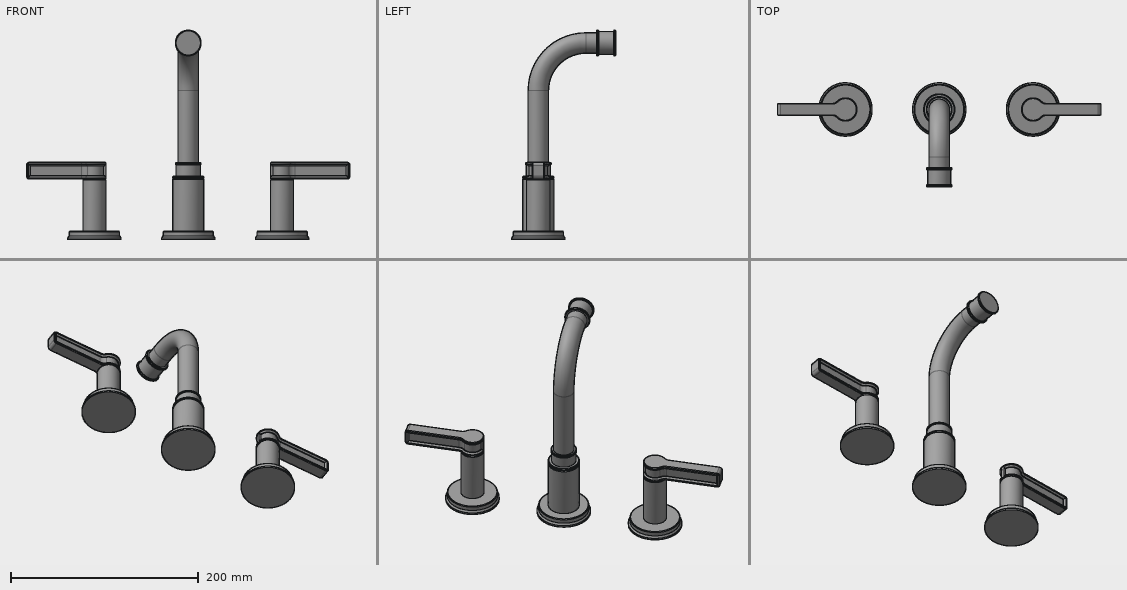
import cadquery as cq
OVERALL_LENGTH = 344.8
HANDLE_SPACING = 100.0
EDGE_CHAMFER = 0.85

BASE_RADIUS = 28.5
BASE_LIP_HEIGHT = 2.0
BASE_TOP_RADIUS = 27.0
BASE_STEP_HEIGHT = 4.0
BASE_HEIGHT = 9.3

POST_RADIUS = 12.5
HANDLE_HEIGHT = 82.7
LEVER_HEIGHT = 18.3
LEVER_WIDTH = 13.0
LEVER_END_FILLET = 3.5
LEVER_REACH = OVERALL_LENGTH / 2 - HANDLE_SPACING
LEVER_BOTTOM = HANDLE_HEIGHT - LEVER_HEIGHT
HEAD_FILLET = 6.2
RIM_WIDTH = 4.0
RECESS_DEPTH = 2.5
RECESS_CHAMFER = 1.7
RIB_WIDTH = 4.0

SPOUT_HEIGHT = 223.5
SPOUT_REACH = 82.7
COLUMN_RADIUS = 33.5 / 2
COLUMN_TOP = 65.0
COLLAR_RADIUS = 13.8
COLLAR_THICKNESS = 2.8
SLEEVE_RADIUS = 13.0
SLEEVE_TOP = 82.5
PIPE_RADIUS = 11.0
BEND_RADIUS = 50.7
PIPE_AXIS_HEIGHT = SPOUT_HEIGHT - COLLAR_RADIUS
NOZZLE_RADIUS = 12.5
NOZZLE_LENGTH = 21.0


def cylinder(radius, bottom, top):
    return cq.Workplane("XY").workplane(offset=bottom).circle(radius).extrude(top - bottom)


def post(radius, top):
    """Upright standing on the ground plane, bevelled round its top."""
    return cylinder(radius, 0, top).faces(">Z").chamfer(EDGE_CHAMFER)


def collar(radius, bottom, thickness):
    """Disc bevelled on both edges."""
    return cylinder(radius, bottom, bottom + thickness).faces("|Z").chamfer(EDGE_CHAMFER)


def make_base():
    profile = [
        (0, 0),
        (BASE_RADIUS, 0),
        (BASE_RADIUS, BASE_LIP_HEIGHT),
        (BASE_TOP_RADIUS, BASE_STEP_HEIGHT),
        (BASE_TOP_RADIUS, BASE_HEIGHT),
        (0, BASE_HEIGHT),
    ]
    base = cq.Workplane("XZ").polyline(profile).close().revolve(360, (0, 0, 0), (0, 1, 0))
    return base.faces(">Z").chamfer(EDGE_CHAMFER)


def lever_plate(inset, bottom, top):
    """Lever along +X blended into its round head, with the outline set in by `inset`."""
    length = LEVER_REACH - inset
    bar = (
        cq.Workplane("XY")
        .workplane(offset=bottom)
        .center(length / 2, 0)
        .rect(length, LEVER_WIDTH - 2 * inset)
        .extrude(top - bottom)
    )
    plate = bar.union(cylinder(POST_RADIUS - inset, bottom, top))
    return plate.edges("|Z").edges("not >X").fillet(HEAD_FILLET + inset)


def lever_envelope():
    """Full outer shape of the lever, with its end rounded and its outer edges bevelled."""
    envelope = lever_plate(0, LEVER_BOTTOM, HANDLE_HEIGHT)
    envelope = envelope.faces(">X").edges("|Y").fillet(LEVER_END_FILLET)
    side_outlines = envelope.edges("(not (|Y or |Z)) or (|Z and >X)")
    return side_outlines.chamfer(EDGE_CHAMFER)


def make_lever():
    """Thin core held between a bottom and a top rim, an end rim and a rib behind the head."""
    rim_bottom = HANDLE_HEIGHT - RIM_WIDTH
    top_rim = lever_plate(0, rim_bottom, HANDLE_HEIGHT).faces("<Z").chamfer(RECESS_CHAMFER)
    bottom_rim = lever_plate(0, LEVER_BOTTOM, LEVER_BOTTOM + RIM_WIDTH)
    bottom_rim = bottom_rim.faces(">Z").chamfer(RECESS_CHAMFER)
    end_rim = (
        cq.Workplane("XY")
        .box(RIM_WIDTH, LEVER_WIDTH, LEVER_HEIGHT, centered=(False, True, False))
        .edges("<X and |Z")
        .chamfer(RECESS_CHAMFER)
        .translate((LEVER_REACH - RIM_WIDTH, 0, LEVER_BOTTOM))
    )
    rib = (
        cq.Workplane("XY")
        .box(POST_RADIUS, RIB_WIDTH, LEVER_HEIGHT, centered=(False, True, False))
        .translate((-POST_RADIUS, 0, LEVER_BOTTOM))
    )
    lever = lever_plate(RECESS_DEPTH, LEVER_BOTTOM, HANDLE_HEIGHT)
    for part in (top_rim, bottom_rim, end_rim, rib):
        lever = lever.union(part)
    return lever.intersect(lever_envelope())


def make_handle():
    return make_base().union(post(POST_RADIUS, LEVER_BOTTOM)).union(make_lever())


def make_pipe():
    bend_start = PIPE_AXIS_HEIGHT - BEND_RADIUS
    path = (
        cq.Workplane("YZ")
        .lineTo(0, bend_start)
        .radiusArc((-BEND_RADIUS, PIPE_AXIS_HEIGHT), -BEND_RADIUS)
        .lineTo(-SPOUT_REACH + NOZZLE_LENGTH, PIPE_AXIS_HEIGHT)
    )
    return cq.Workplane("XY").circle(PIPE_RADIUS).sweep(path)


def make_nozzle():
    """Nozzle with a collar at each end, modelled upright and then turned to point along -Y."""
    nozzle = cylinder(NOZZLE_RADIUS, EDGE_CHAMFER, NOZZLE_LENGTH - EDGE_CHAMFER)
    for bottom in (0, NOZZLE_LENGTH - COLLAR_THICKNESS):
        nozzle = nozzle.union(collar(COLLAR_RADIUS, bottom, COLLAR_THICKNESS))
    nozzle = nozzle.rotate((0, 0, 0), (1, 0, 0), 90)
    return nozzle.translate((0, NOZZLE_LENGTH - SPOUT_REACH, PIPE_AXIS_HEIGHT))


def make_spout():
    parts = [
        post(COLUMN_RADIUS, COLUMN_TOP),
        collar(COLUMN_RADIUS, COLUMN_TOP, COLLAR_THICKNESS),
        cylinder(SLEEVE_RADIUS, COLUMN_TOP, SLEEVE_TOP - EDGE_CHAMFER),
        collar(COLLAR_RADIUS, SLEEVE_TOP - COLLAR_THICKNESS, COLLAR_THICKNESS),
        make_pipe(),
        make_nozzle(),
    ]
    spout = make_base()
    for part in parts:
        spout = spout.union(part)
    return spout


def place_handles():
    """Two handles whose levers point away from the spout."""
    handles = []
    for side, turn in ((-1, 180), (1, 0)):
        handle = make_handle().rotate((0, 0, 0), (0, 0, 1), turn)
        handles.append(handle.translate((side * HANDLE_SPACING, 0, 0)))
    return handles


spout = make_spout()
handles = place_handles()

result = cq.Compound.makeCompound([spout.val(), *[handle.val() for handle in handles]])